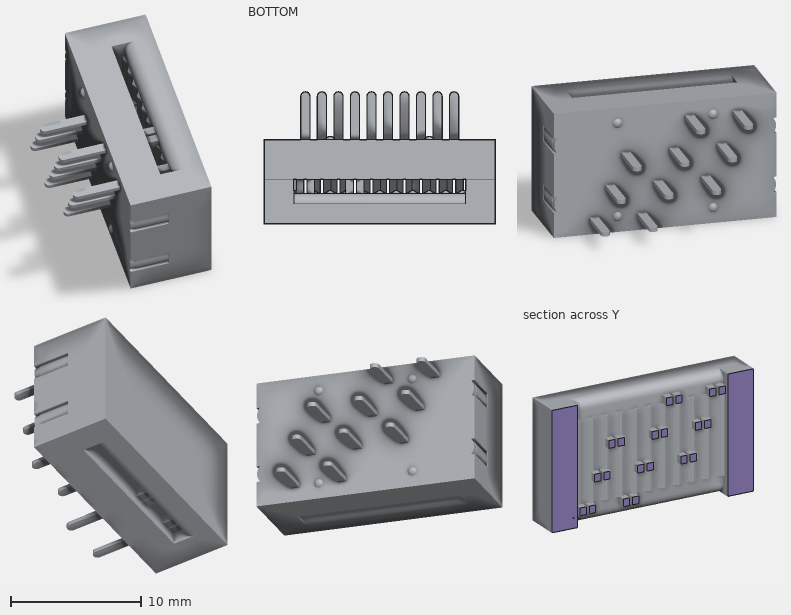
import cadquery as cq
import math


length = 17.78
height = 10.16
overall_depth = 10.16
pin_projection = 3.68
base_depth = 3.06
cover_back = overall_depth - pin_projection

slot_width = 13.2
slot_back = 4.93
lip_radius = 0.8
slot_wall = slot_back - lip_radius

pitch = 1.27
pin_width = 0.72
pin_thickness = 0.33
blade_width = 1.42
blade_thickness = 0.68
fork_gap = 0.22
pin_rows = [-3 * pitch, -pitch, pitch, -3 * pitch, -pitch, pitch, 3 * pitch, -pitch, pitch, 3 * pitch]
pin_positions = [((i - (len(pin_rows) - 1) / 2) * pitch, z) for i, z in enumerate(pin_rows)]

tooth_height = 0.22
tooth_band_height = 7.0
groove_half_width = 0.55
groove_radius = (groove_half_width**2 + tooth_height**2) / (2 * tooth_height)

peg_diameter = 1.98
peg_head_diameter = 1.905
peg_head_depth = 0.49
peg_side_clearance = 0.01
peg_x = (length - peg_diameter) / 2 - peg_side_clearance
peg_z = 2.413
window_width = 1.27

standoff_diameter = 0.76
standoff_height = 0.25
standoff_offset = 3 * pitch


def block(x_size, y_start, y_end, z_size, x=0, z=0):
    """Box centred on (x, z) that spans y_start to y_end."""
    middle = (x, (y_start + y_end) / 2, z)
    return cq.Workplane("XY").box(x_size, y_end - y_start, z_size).translate(middle)


def cylinder(diameter, y_start, y_end, x, z):
    """Cylinder along Y."""
    axis = cq.Vector(0, 1, 0)
    start = cq.Vector(x, y_start, z)
    return cq.Workplane(obj=cq.Solid.makeCylinder(diameter / 2, y_end - y_start, start, axis))


def corners(x, z):
    """The four points mirrored about both mid-planes."""
    return [(x_sign * x, z_sign * z) for x_sign in (-1, 1) for z_sign in (-1, 1)]


def make_peg_sections(x, z):
    """A peg's slightly slimmer head, flush with the base front, and its shaft."""
    head = cylinder(peg_head_diameter, 0, peg_head_depth, x, z)
    shaft = cylinder(peg_diameter, peg_head_depth, base_depth, x, z)
    return [head, shaft]


def make_base():
    """Plain block with a stepped peg hole and an open side window at each peg."""
    base = block(length, 0, base_depth, height)
    for x, z in corners(peg_x, peg_z):
        side = math.copysign(length / 2, x)
        window = block(2 * abs(side - x), 0, base_depth, window_width, side, z)
        base = base.cut(window)
        for peg_section in make_peg_sections(x, z):
            base = base.cut(peg_section)
    return base


def make_cable_slot():
    """Slot through the cover along Z, its back wall flaring out over a rounded lip at both ends."""
    half_height = height / 2
    straight_end = half_height - lip_radius
    bend = lip_radius * math.sqrt(0.5)
    arc_y = slot_back - bend
    arc_z = straight_end + bend
    return (
        cq.Workplane("YZ")
        .moveTo(base_depth, -half_height)
        .lineTo(slot_back, -half_height)
        .threePointArc((arc_y, -arc_z), (slot_wall, -straight_end))
        .lineTo(slot_wall, straight_end)
        .threePointArc((arc_y, arc_z), (slot_back, half_height))
        .lineTo(base_depth, half_height)
        .close()
        .extrude(slot_width / 2, both=True)
    )


def make_teeth():
    """Band on the slot wall with one shallow round groove for each wire."""
    teeth = block(slot_width, slot_wall - tooth_height, slot_wall, tooth_band_height)
    groove_y = slot_wall - groove_radius
    for x, _ in pin_positions:
        groove = cq.Workplane("XY").center(x, groove_y).circle(groove_radius)
        teeth = teeth.cut(groove.extrude(tooth_band_height / 2, both=True))
    return teeth


def make_cover():
    cover = block(length, base_depth, cover_back, height)
    return cover.cut(make_cable_slot()).union(make_teeth())


def make_pin(x, z):
    """Flat pin with a round tip."""
    tip_radius = pin_width / 2
    return (
        cq.Workplane("XY", origin=(x, 0, z))
        .moveTo(-tip_radius, 0)
        .lineTo(-tip_radius, tip_radius - pin_projection)
        .threePointArc((0, -pin_projection), (tip_radius, tip_radius - pin_projection))
        .lineTo(tip_radius, 0)
        .close()
        .extrude(pin_thickness / 2, both=True)
    )


def make_blade(x, z):
    """Forked blade that reaches across the slot to the cover wall."""
    blade = block(blade_width, base_depth, slot_wall, blade_thickness, x, z)
    return blade.cut(block(fork_gap, base_depth, slot_wall, blade_thickness, x, z))


def make_standoff(x, z):
    """Domed cap on the base front, turned about its own Y axis."""
    radius = standoff_diameter / 2
    dome_radius = (radius**2 + standoff_height**2) / (2 * standoff_height)
    half_angle = math.asin(radius / dome_radius) / 2
    arc_x = dome_radius * math.sin(half_angle)
    arc_y = dome_radius * (1 - math.cos(half_angle)) - standoff_height
    return (
        cq.Workplane("XY", origin=(x, 0, z))
        .lineTo(radius, 0)
        .threePointArc((arc_x, arc_y), (0, -standoff_height))
        .close()
        .revolve(360, (0, 0, 0), (0, 1, 0))
    )


parts = [make_cover()]
for x, z in corners(peg_x, peg_z):
    parts += make_peg_sections(x, z)
parts += [make_pin(x, z) for x, z in pin_positions]
parts += [make_blade(x, z) for x, z in pin_positions]
parts += [make_standoff(x, z) for x, z in corners(standoff_offset, standoff_offset)]

result = make_base()
for part in parts:
    result = result.union(part, clean=False)